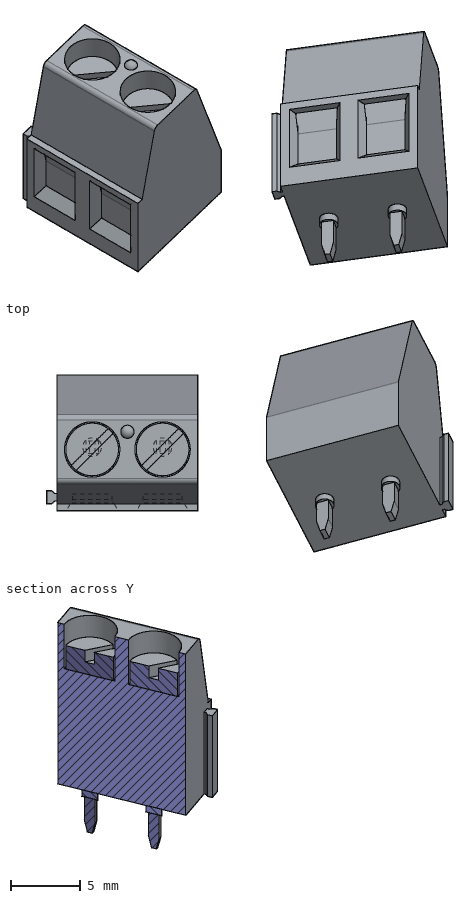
import cadquery as cq
import math


pitch = 5.08
pole_count = 2
housing_width = pole_count * pitch
housing_depth = 9.8
housing_height = 13.85
ledge_depth = 0.5
ledge_height = 7.4
back_wall_height = 4.5
top_front_y = 2.0
top_back_y = 6.85
top_edge_radius = 0.4

ball_radius = 0.5
ball_rise = 0.35
ball_y = 5.7

rail_reach = 0.74
rail_height = 7.0
rail_width = 0.95
rail_head_thickness = 0.36
rail_neck_width = 0.55
rail_neck_length = 0.16

entry_width = 3.75
entry_bottom = 1.6
entry_top = 6.8
entry_depth = 0.8
entry_side_angle = 30.0
entry_floor_rise = entry_depth
entry_back_width = entry_width - 2 * entry_depth * math.tan(math.radians(entry_side_angle))

guard_thickness = 0.4
guard_bend_height = 5.1
guard_top_depth = 0.57
guard_back_y = entry_depth + guard_thickness

screw_y = (top_front_y + top_back_y) / 2
screw_hole_radius = 2.0
screw_radius = 1.9
screw_recess = 1.8
screw_height = 2.0
screw_slot_width = 0.5
screw_slot_depth = 1.0
screw_slot_angle = 45.0
screw_floor_z = housing_height - screw_recess - screw_height

pin_y = 4.6
pin_size = 0.9
pin_reach = 3.5
pin_taper_start = 2.5
pin_tip_width = 0.4
collar_radius = 0.67
collar_height = 0.55

pole_xs = [(i - (pole_count - 1) / 2) * pitch for i in range(pole_count)]


def entry_recess(x):
    """Funnel through the front wall, plus the straight seat behind it for the guard."""
    back_bottom = entry_bottom + entry_floor_rise
    back_height = entry_top - back_bottom
    mouth_height = entry_top - entry_bottom
    funnel = (
        cq.Workplane("XZ", origin=(x, 0, entry_bottom + mouth_height / 2))
        .rect(entry_width, mouth_height)
        .workplane(offset=-entry_depth)
        .center(0, entry_floor_rise / 2)
        .rect(entry_back_width, back_height)
        .loft(ruled=True)
    )
    seat = (
        cq.Workplane("XY", origin=(x, entry_depth, back_bottom))
        .box(entry_back_width, guard_thickness, back_height, centered=(True, False, False))
    )
    return funnel.union(seat)


def housing_block():
    profile = [
        (0, 0),
        (0, ledge_height),
        (ledge_depth, ledge_height),
        (top_front_y, housing_height),
        (top_back_y, housing_height),
        (housing_depth, back_wall_height),
        (housing_depth, 0),
    ]
    return (
        cq.Workplane("YZ")
        .polyline(profile)
        .close()
        .extrude(housing_width / 2, both=True)
        .faces(">Z")
        .edges("|X")
        .fillet(top_edge_radius)
    )


def dovetail_rail():
    wall_x = -housing_width / 2
    neck_x = wall_x - rail_neck_length
    outer_x = wall_x - rail_reach
    head_x = outer_x + rail_head_thickness
    front_y = ledge_depth
    back_y = front_y + rail_width
    neck_inset = (rail_width - rail_neck_width) / 2
    profile = [
        (wall_x, front_y + neck_inset),
        (neck_x, front_y + neck_inset),
        (head_x, front_y),
        (outer_x, front_y),
        (outer_x, back_y),
        (head_x, back_y),
        (neck_x, back_y - neck_inset),
        (wall_x, back_y - neck_inset),
    ]
    return cq.Workplane("XY").polyline(profile).close().extrude(rail_height)


def make_housing():
    ball_z = housing_height + ball_rise - ball_radius
    ball = cq.Workplane("XY").sphere(ball_radius).translate((0, ball_y, ball_z))
    housing = housing_block().union(dovetail_rail()).union(ball)
    for x in pole_xs:
        screw_hole = (
            cq.Workplane("XY", origin=(x, screw_y, screw_floor_z))
            .circle(screw_hole_radius)
            .extrude(housing_height - screw_floor_z)
        )
        housing = housing.cut(screw_hole).cut(entry_recess(x))
    return housing


def make_guard(x):
    """Plate filling the back of a wire entry, its upper part leaning forward."""
    profile = [
        (entry_depth, entry_bottom),
        (entry_depth, guard_bend_height),
        (guard_top_depth, entry_top),
        (guard_back_y, entry_top),
        (guard_back_y, entry_bottom),
    ]
    slab = (
        cq.Workplane("YZ", origin=(x, 0, 0))
        .polyline(profile)
        .close()
        .extrude(entry_width / 2, both=True)
    )
    return entry_recess(x).intersect(slab)


def make_screw(x):
    head = cq.Workplane("XY").circle(screw_radius).extrude(screw_height)
    slot = (
        cq.Workplane("XY", origin=(0, 0, screw_height - screw_slot_depth))
        .rect(2 * screw_radius, screw_slot_width)
        .extrude(screw_slot_depth)
        .rotate((0, 0, 0), (0, 0, 1), screw_slot_angle)
    )
    return head.cut(slot).translate((x, screw_y, screw_floor_z))


def make_collar(x):
    """Round standoff collar between the housing and the pin."""
    return (
        cq.Workplane("XY", origin=(x, pin_y, -collar_height))
        .circle(collar_radius)
        .extrude(collar_height)
    )


def make_pin(x):
    """Square pin below its collar; the tip narrows along X only."""
    half_size = pin_size / 2
    half_tip = pin_tip_width / 2
    profile = [
        (-half_size, -collar_height),
        (half_size, -collar_height),
        (half_size, -pin_taper_start),
        (half_tip, -pin_reach),
        (-half_tip, -pin_reach),
        (-half_size, -pin_taper_start),
    ]
    return (
        cq.Workplane("XZ", origin=(x, pin_y, 0))
        .polyline(profile)
        .close()
        .extrude(half_size, both=True)
    )


bodies = [make_housing().solids().val()]
for pole_x in pole_xs:
    bodies.append(make_screw(pole_x).solids().val())
    bodies.append(make_guard(pole_x).solids().val())
    bodies.append(make_collar(pole_x).solids().val())
    bodies.append(make_pin(pole_x).solids().val())

result = cq.Compound.makeCompound(bodies)